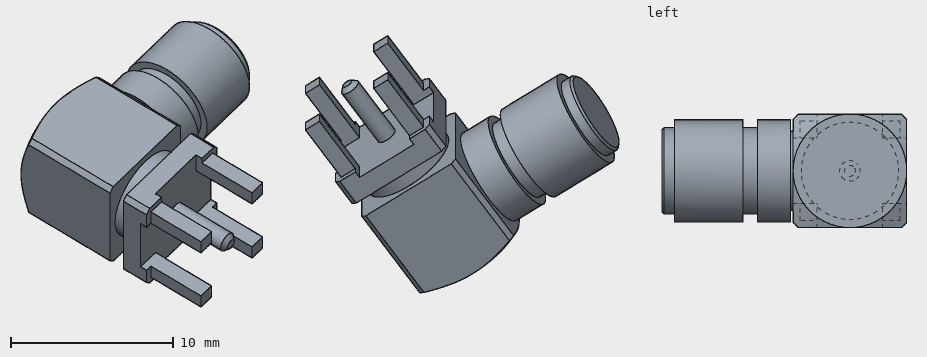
import cadquery as cq
import math

BLOCK_SIZE = 7.0
HALF_BLOCK = BLOCK_SIZE / 2
EDGE_CHAMFER = 0.32
CROWN_SLOPE = 0.5

NECK_DIAMETER = 6.0
FLANGE_START = 8.05
FLANGE_FLOOR = 9.4
FLANGE_END = 9.87
LEG_WIDTH = 1.05
LEG_INNER = 2.02
LEG_CENTRE = LEG_INNER + LEG_WIDTH / 2
LEG_END = 13.8
PIN_DIAMETER = 1.27
PIN_END = 13.73
PIN_CHAMFER = 0.3

BARREL_DIAMETER = 6.33
GROOVE_DIAMETER = 5.35
ROOT_DIAMETER = 4.9
ROOT_LENGTH = 0.15
COLLAR_LENGTH = 2.05
GROOVE_LENGTH = 0.9
SLEEVE_LENGTH = 4.22
TIP_LENGTH = 0.78
BARREL_TIP_CHAMFER = 0.15


def rod_x(diameter, start, end):
    """Cylinder about the X axis."""
    return cq.Workplane("YZ", origin=(start, 0, 0)).circle(diameter / 2).extrude(end - start)


def square_bar_x(width, start, end):
    """Square bar about the X axis with its long edges chamfered."""
    bar = cq.Workplane("YZ", origin=(start, 0, 0)).rect(width, width).extrude(end - start)
    return bar.edges("|X").chamfer(EDGE_CHAMFER)


def make_block():
    """Square block whose closed end is turned down by a cone, leaving a full-width disc."""
    corner_radius = HALF_BLOCK * math.sqrt(2)
    crown_depth = (corner_radius - HALF_BLOCK) * CROWN_SLOPE
    envelope = (
        cq.Workplane("XY")
        .polyline([
            (0, 0),
            (0, HALF_BLOCK),
            (crown_depth, corner_radius),
            (BLOCK_SIZE, corner_radius),
            (BLOCK_SIZE, 0),
        ])
        .close()
        .revolve(360, (0, 0, 0), (1, 0, 0))
    )
    return square_bar_x(BLOCK_SIZE, 0, BLOCK_SIZE).intersect(envelope)


def make_flange():
    """Square flange with a cross-shaped recess that leaves a raised pad at each corner."""
    flange = square_bar_x(BLOCK_SIZE, FLANGE_START, FLANGE_END)
    recess_plane = cq.Workplane("YZ", origin=(FLANGE_FLOOR, 0, 0))
    recess_depth = FLANGE_END - FLANGE_FLOOR
    recess_width = 2 * LEG_INNER
    for width, height in ((recess_width, BLOCK_SIZE), (BLOCK_SIZE, recess_width)):
        flange = flange.cut(recess_plane.rect(width, height).extrude(recess_depth))
    return flange


def make_legs():
    """Four square solder legs, one on each flange pad."""
    return (
        cq.Workplane("YZ", origin=(FLANGE_FLOOR, 0, 0))
        .rect(2 * LEG_CENTRE, 2 * LEG_CENTRE, forConstruction=True)
        .vertices()
        .rect(LEG_WIDTH, LEG_WIDTH)
        .extrude(LEG_END - FLANGE_FLOOR)
    )


def make_pin():
    """Centre contact pin with a chamfered tip."""
    return rod_x(PIN_DIAMETER, FLANGE_START, PIN_END).faces(">X").chamfer(PIN_CHAMFER)


def rod_y(diameter, start, length):
    """Cylinder along +Y on the barrel axis, which passes through the middle of the block."""
    return cq.Workplane("XZ", origin=(HALF_BLOCK, start, 0)).circle(diameter / 2).extrude(-length)


def make_barrel():
    """Stepped round barrel rooted in the centre of the block, with a chamfered tip."""
    steps = [
        (ROOT_DIAMETER, HALF_BLOCK + ROOT_LENGTH),
        (BARREL_DIAMETER, COLLAR_LENGTH),
        (GROOVE_DIAMETER, GROOVE_LENGTH),
        (BARREL_DIAMETER, SLEEVE_LENGTH),
        (GROOVE_DIAMETER, TIP_LENGTH),
    ]
    barrel = cq.Workplane("XZ")
    start = 0
    for diameter, length in steps:
        barrel = barrel.union(rod_y(diameter, start, length))
        start += length
    return barrel.faces(">Y").chamfer(BARREL_TIP_CHAMFER)


result = (
    make_block()
    .union(rod_x(NECK_DIAMETER, HALF_BLOCK, FLANGE_START))
    .union(make_flange())
    .union(make_legs())
    .union(make_pin())
    .union(make_barrel())
)